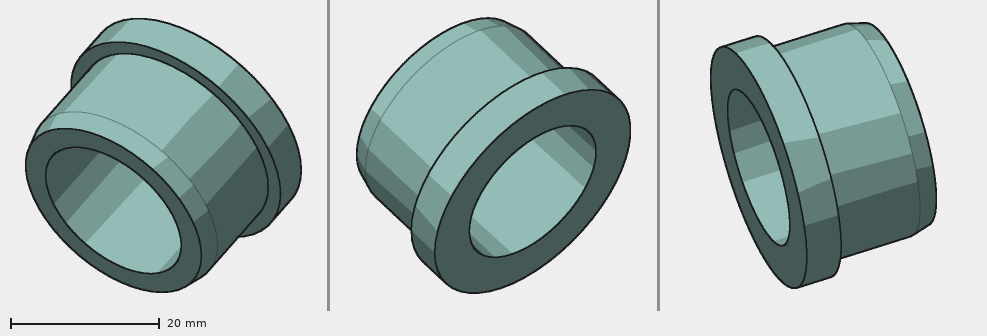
import cadquery as cq
import math

flange_diameter = 34.0
flange_thickness = 5.0
body_diameter = 30.0
bore_diameter = 22.0
total_length = 20.0
taper_length = 2.72
taper_angle = 15.0

flange_radius = flange_diameter / 2
body_radius = body_diameter / 2
bore_radius = bore_diameter / 2
tip_radius = body_radius - taper_length * math.tan(math.radians(taper_angle))
flange_start = total_length - flange_thickness

half_section = (
    cq.Workplane("XY")
    .moveTo(bore_radius, 0)
    .lineTo(tip_radius, 0)
    .lineTo(body_radius, taper_length)
    .lineTo(body_radius, flange_start)
    .lineTo(flange_radius, flange_start)
    .lineTo(flange_radius, total_length)
    .lineTo(bore_radius, total_length)
    .close()
)

result = half_section.revolve(360, (0, 0, 0), (0, 1, 0))